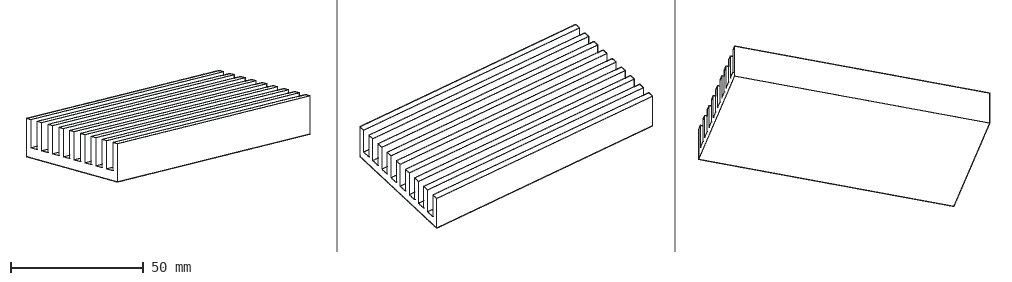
import cadquery as cq

width = 50.0
length = 100.0
height = 15.0

base_thickness = 4.0
fin_count = 9
fin_thickness = 2.5

fin_height = height - base_thickness
fin_pitch = (width - fin_thickness) / (fin_count - 1)


def make_base():
    """Flat plate resting on Z = 0, centred in X and Y."""
    return cq.Workplane("XY").box(width, length, base_thickness, centered=(True, True, False))


def make_fins():
    """Evenly spaced full-length fins, the outer two flush with the plate sides."""
    return (
        cq.Workplane("XY", origin=(0, 0, base_thickness))
        .rarray(fin_pitch, 1, fin_count, 1)
        .rect(fin_thickness, length)
        .extrude(fin_height)
    )


result = make_base().union(make_fins())